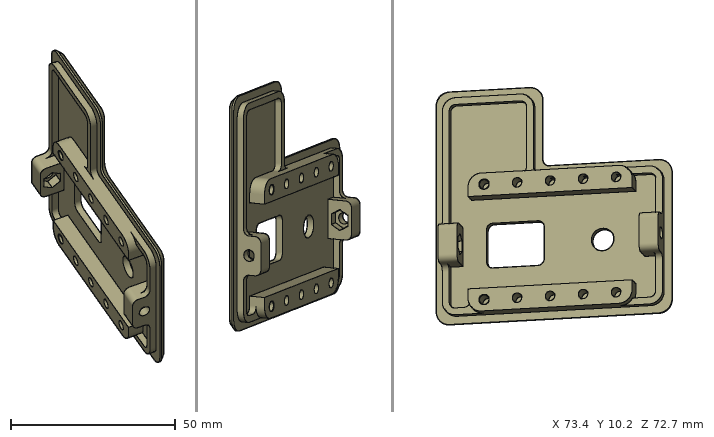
import cadquery as cq
import math


plate_width = 73.4
plate_height = 72.7
arm_width = 33.2
body_height = 47.9
plate_thickness = 2.2
back_chamfer = 1.55
corner_radius = 4.1
small_radius = 2.0

rim_inset = 2.4
rim_thickness = 2.1
rim_height = 2.1
pocket_inset = rim_inset + rim_thickness

rail_left = 11.1
rail_length = 51.1
rail_width = 7.1
rail_height = 5.0
rail_center_x = rail_left + rail_length / 2
lower_rail_z = rim_inset + rail_width / 2
upper_rail_z = body_height - rim_inset - rail_width / 2
hole_count = 5
hole_pitch = 10.3
hole_diameter = 2.9
hole_edge_distance = 3.5
hole_depth = rail_height
end_hole_chamfer = 0.15

axis_z = 23.9
window_left = 15.7
window_width = 17.9
window_height = 13.95
round_hole_x = 51.8
round_hole_diameter = 7.0

clip_width = 5.95
clip_length = 12.1
clip_height = 8.0
clip_hole_diameter = 3.5
clip_hole_height = 4.0
nut_across_flats = 5.6
nut_depth = 3.0


def l_prism(inset, height):
    """Sharp-cornered L, inset from the plate outline, rising from Y = 0 towards -Y."""
    right = plate_width - inset
    arm_right = arm_width - inset
    step = body_height - inset
    top = plate_height - inset
    return (
        cq.Workplane("XZ")
        .moveTo(inset, inset)
        .lineTo(right, inset)
        .lineTo(right, step)
        .lineTo(arm_right, step)
        .lineTo(arm_right, top)
        .lineTo(inset, top)
        .close()
        .extrude(height)
    )


def round_l_corners(prism, inset, convex_radius):
    """Round the concave corner of an L prism, then its five convex corners."""
    concave = cq.selectors.NearestToPointSelector((arm_width - inset, 0, body_height - inset))
    prism = prism.edges("|Y").edges(concave).fillet(small_radius)
    for x, z in [
        (inset, inset),
        (plate_width - inset, inset),
        (plate_width - inset, body_height - inset),
        (arm_width - inset, plate_height - inset),
        (inset, plate_height - inset),
    ]:
        corner = cq.selectors.NearestToPointSelector((x, 0, z))
        prism = prism.edges("|Y").edges(corner).fillet(convex_radius)
    return prism


def make_plate():
    plate = round_l_corners(l_prism(0, plate_thickness), 0, corner_radius)
    return plate.translate((0, plate_thickness, 0)).faces(">Y").chamfer(back_chamfer)


def make_rim():
    outer = round_l_corners(l_prism(rim_inset, rim_height), rim_inset, corner_radius)
    pocket_radius = corner_radius - rim_thickness
    pocket = round_l_corners(l_prism(pocket_inset, rim_height), pocket_inset, pocket_radius)
    return outer.cut(pocket)


def make_rail(center_z, outward):
    """Rail whose two outer corners are rounded; outward is +1 for up, -1 for down."""
    rail = cq.Workplane("XZ").rect(rail_length, rail_width).extrude(rail_height)
    outer_side = ">Z" if outward > 0 else "<Z"
    rail = rail.faces(outer_side).edges("|Y").fillet(corner_radius)
    hole_z = outward * (rail_width / 2 - hole_edge_distance)
    holes = (
        cq.Workplane("XZ", origin=(0, -rail_height, hole_z))
        .rarray(hole_pitch, 0.7, hole_count, 1)
        .circle(hole_diameter / 2)
        .extrude(-hole_depth)
    )
    rail = rail.cut(holes)
    end_hole_x = -hole_pitch * (hole_count - 1) / 2
    end_hole = cq.selectors.NearestToPointSelector((end_hole_x, -rail_height, hole_z))
    rail = rail.faces("<Y").edges("%CIRCLE").edges(end_hole).chamfer(end_hole_chamfer)
    return rail.translate((rail_center_x, 0, center_z))


def corner_fill(x, z):
    """Concave fillet, as tall as the rim, where a wall at x meets a wall at z from the left."""
    overlap = rim_thickness / 2
    return (
        cq.Workplane("XZ")
        .moveTo(x - small_radius, z)
        .radiusArc((x, z + small_radius), -small_radius)
        .lineTo(x + overlap, z + small_radius)
        .lineTo(x + overlap, z)
        .close()
        .extrude(rim_height)
    )


def make_left_clip():
    """Clip block on the left rim, with rounded top edges and fillets running onto the rim."""
    half = clip_length / 2
    block = (
        cq.Workplane("XZ", origin=(rim_inset + clip_width / 2, 0, axis_z))
        .rect(clip_width, clip_length)
        .extrude(clip_height)
        .faces("<Y")
        .edges("|X")
        .fillet(small_radius)
    )
    section = cq.Workplane("YZ", origin=(rim_inset, 0, axis_z))
    for side in (-1, 1):
        base_fillet = (
            section.moveTo(-rim_height, side * (half + small_radius))
            .radiusArc((-rim_height - small_radius, side * half), side * small_radius)
            .lineTo(-rim_height, side * half)
            .close()
            .extrude(rim_thickness)
        )
        block = block.union(base_fillet)
    return block


def make_left_clip_bore():
    """Hole along X through the left clip, with a hexagonal nut pocket at its inner end."""
    hole = (
        cq.Workplane("YZ", origin=(rim_inset, -clip_hole_height, axis_z))
        .circle(clip_hole_diameter / 2)
        .extrude(clip_width)
    )
    nut_across_corners = nut_across_flats / math.cos(math.radians(30))
    nut = (
        cq.Workplane("YZ", origin=(rim_inset + clip_width - nut_depth, -clip_hole_height, axis_z))
        .transformed(rotate=(0, 0, 90))
        .polygon(6, nut_across_corners)
        .extrude(nut_depth)
    )
    return hole.union(nut)


def mirror_to_right(shape):
    return shape.mirror("YZ", (plate_width / 2, 0, 0))


def make_openings():
    window = (
        cq.Workplane("XZ", origin=(window_left + window_width / 2, 0, axis_z))
        .rect(window_width, window_height)
        .extrude(-plate_thickness)
        .edges("|Y")
        .fillet(small_radius)
    )
    round_hole = (
        cq.Workplane("XZ", origin=(round_hole_x, 0, axis_z))
        .circle(round_hole_diameter / 2)
        .extrude(-plate_thickness)
    )
    return window.union(round_hole)


result = make_plate().union(make_rim())
result = result.union(make_rail(lower_rail_z, -1)).union(make_rail(upper_rail_z, 1))

result = result.union(corner_fill(arm_width - pocket_inset, body_height - rim_inset))
result = result.union(corner_fill(rail_left, pocket_inset))

clip = make_left_clip()
clip_bore = make_left_clip_bore()
result = result.union(clip).union(mirror_to_right(clip))
result = result.cut(clip_bore).cut(mirror_to_right(clip_bore))

result = result.cut(make_openings())